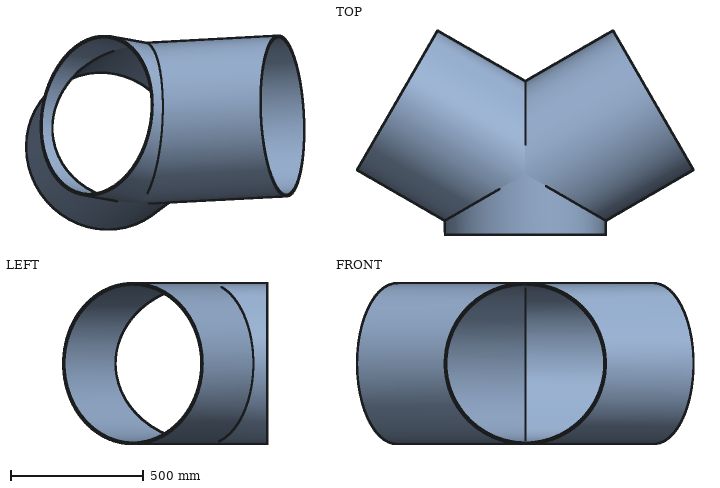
import cadquery as cq
import math

overall_width = 1273.0
outer_diameter = 610.0
bore_diameter = 597.0
inlet_length = 229.0
branch_angle = 30.0
mitre_angle = 60.0

angle = math.radians(branch_angle)
branch_length = (overall_width / 2 - outer_diameter / 2 * math.sin(angle)) / math.cos(angle)

pipes = [
    (branch_angle, branch_length),
    (180.0 - branch_angle, branch_length),
    (270.0, inlet_length),
]


def mitred_bar(direction, length, diameter):
    """Cylinder along a direction in the XY plane, mitred to a wedge at the junction centre."""
    half_width = length * math.tan(math.radians(mitre_angle))
    bar = cq.Workplane("YZ").circle(diameter / 2).extrude(length)
    wedge = (
        cq.Workplane("XY")
        .polyline([(0, 0), (length, -half_width), (length, half_width)])
        .close()
        .extrude(diameter, both=True)
    )
    return bar.intersect(wedge).rotate((0, 0, 0), (0, 0, 1), direction)


def three_way(diameter):
    """Three mitred bars of one diameter, joined along their mitre planes."""
    joined = cq.Workplane("XY")
    for direction, length in pipes:
        joined = joined.union(mitred_bar(direction, length, diameter))
    return joined


result = three_way(outer_diameter).cut(three_way(bore_diameter))